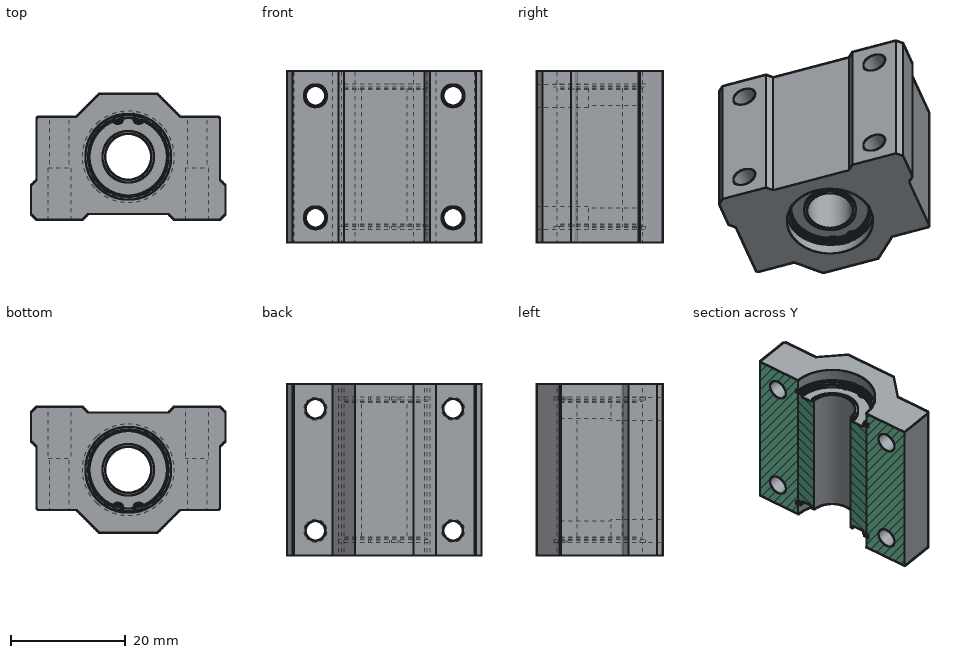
import cadquery as cq

width = 34.0
depth = 22.0
height = 30.0
half_width = width / 2
half_depth = depth / 2
half_height = height / 2
step = 1.0
body_half_width = half_width - step
crown_half_width = 5.05
crown_rise = 3.98
shoulder_y = half_depth - crown_rise
shoulder_chamfer = 0.27
foot_top_y = -4.0
foot_fillet = 0.4
recess_half_width = 7.0

hole_spacing_x = 24.0
hole_spacing_z = 21.3
thread_diameter = 4.0
tap_diameter = 3.4
thread_depth = 9.0

bearing_diameter = 15.0
bearing_length = 24.4
shell_inner_diameter = 13.5
bearing_chamfer = 0.27
end_recess = 0.5
tube_diameter = 9.0
shaft_diameter = 8.0

ring_diameter = 16.0
ring_inner_diameter = 14.0
ring_thickness = 0.5
lug_radius = 0.95
lug_offset_x = 1.85
lug_offset_y = 6.7
lug_hole_diameter = 1.2
ring_gap = 2 * (lug_offset_x - lug_radius)
ring_base_z = bearing_length / 2


def cylinder(diameter, length, base_z):
    return cq.Workplane("XY").workplane(offset=base_z).circle(diameter / 2).extrude(length)


def make_profile():
    """Housing cross-section, extruded along the bearing axis."""
    right_side = [
        (recess_half_width, -half_depth + step),
        (recess_half_width + step, -half_depth),
        (half_width - step, -half_depth),
        (half_width, -half_depth + step),
        (half_width, foot_top_y - step),
        (body_half_width, foot_top_y),
        (body_half_width, shoulder_y - shoulder_chamfer),
        (body_half_width - shoulder_chamfer, shoulder_y),
        (crown_half_width + crown_rise, shoulder_y),
        (crown_half_width, half_depth),
    ]
    left_side = [(-x, y) for x, y in reversed(right_side)]
    block = (
        cq.Workplane("XY")
        .workplane(offset=-half_height)
        .polyline(right_side + left_side)
        .close()
        .extrude(height)
    )
    for side in (-1, 1):
        corner = cq.selectors.NearestToPointSelector((side * body_half_width, foot_top_y, 0))
        block = block.edges("|Z").edges(corner).fillet(foot_fillet)
    return block


def mounting_holes(diameter, length):
    """Four holes running in +Y from the front face."""
    return (
        cq.Workplane("XZ", origin=(0, -half_depth, 0))
        .rarray(hole_spacing_x, hole_spacing_z, 2, 2)
        .circle(diameter / 2)
        .extrude(-length)
    )


def make_housing():
    housing = make_profile().cut(cylinder(bearing_diameter, height, -half_height))
    for base_z in (ring_base_z, -ring_base_z - ring_thickness):
        housing = housing.cut(cylinder(ring_diameter, ring_thickness, base_z))
    housing = housing.cut(mounting_holes(tap_diameter, depth))
    return housing.cut(mounting_holes(thread_diameter, thread_depth))


def make_bearing():
    """Shell with recessed ends and an inner tube."""
    half_length = bearing_length / 2
    bearing = cylinder(bearing_diameter, bearing_length, -half_length)
    bearing = bearing.faces("<Z or >Z").edges().chamfer(bearing_chamfer)
    for base_z in (-half_length, half_length - end_recess):
        bearing = bearing.cut(cylinder(shell_inner_diameter, end_recess, base_z))
    bearing = bearing.union(cylinder(tube_diameter, bearing_length, -half_length))
    return bearing.cut(cylinder(shaft_diameter, bearing_length, -half_length))


def make_ring():
    """Internal retaining ring with two plier lugs at its gap, standing on its base."""
    lug_centres = [(-lug_offset_x, lug_offset_y), (lug_offset_x, lug_offset_y)]
    ring = cylinder(ring_diameter, ring_thickness, 0)
    ring = ring.cut(cylinder(ring_inner_diameter, ring_thickness, 0))
    lugs = cq.Workplane("XY").pushPoints(lug_centres).circle(lug_radius).extrude(ring_thickness)
    gap = cq.Workplane("XY").center(0, ring_diameter / 2).rect(ring_gap, ring_diameter / 2)
    holes = cq.Workplane("XY").pushPoints(lug_centres).circle(lug_hole_diameter / 2)
    return ring.union(lugs).cut(gap.extrude(ring_thickness)).cut(holes.extrude(ring_thickness))


housing = make_housing()
bearing = make_bearing()
upper_ring = make_ring().translate((0, 0, ring_base_z))
rings = [upper_ring, upper_ring.mirror("XY")]

result = cq.Compound.makeCompound(
    [housing.val(), bearing.val(), *[ring.val() for ring in rings]]
)